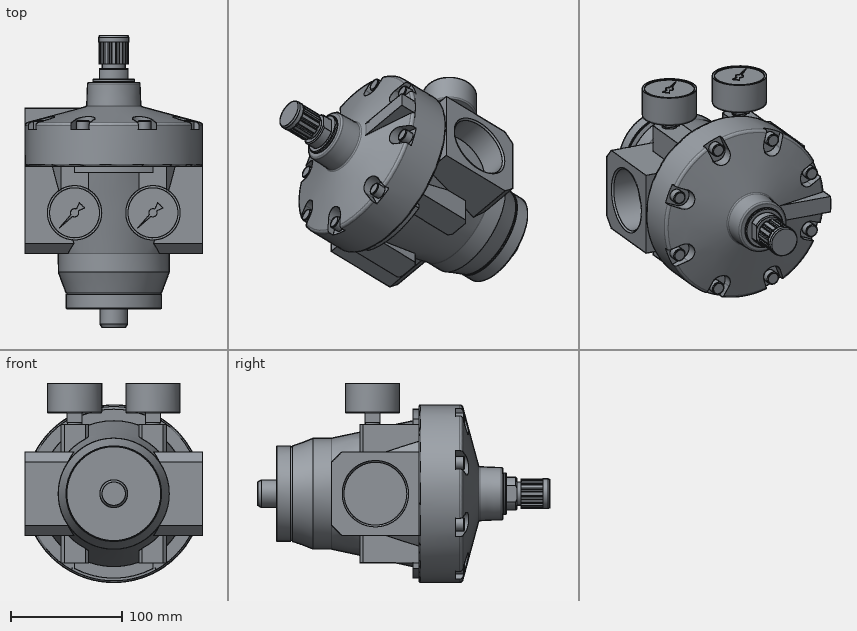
import cadquery as cq


pin_end = -106.0
cap_front = -89.2
cap_back = -76.3
groove_back = -74.7
neck_front = -56.0
block_front = -39.5
plate_front = 33.7
bonnet_front = 39.2
bonnet_back = 78.0
collar_start = 93.0
collar_end = 114.7
washer_end = 117.8
stud_end = 127.3
flutes_start = 131.0
flutes_end = 151.0
knob_end = 157.0

pin_d = 25.0
pin_tip_d = 21.0
pin_chamfer_length = 3.5
cap_d = 86.0
cap_chamfer = 0.8
groove_d = 84.7
barrel_d = 100.0
cone_back_d = 133.5
plate_d = 152.0
plate_width = 70.7
bonnet_d = 160.0
bonnet_fillet = 3.2
bonnet_front_fillet = 1.5
collar_d = 49.0
collar_end_d = 47.3
collar_root_fillet = 1.3
collar_end_fillet = 1.5
washer_d = 37.5
washer_chamfer = 0.8
stud_d = 29.7
stud_flats = 25.8
stud_chamfer = 1.0
knob_neck_d = 21.0
knob_d = 26.3
knob_rim_d = 27.0
knob_chamfer_length = 1.8
knob_chamfer_depth = 0.8
flute_count = 12
flute_width = 3.7
flute_floor_width = 1.3
flute_depth = 1.0

block_length = bonnet_d
block_height = 75.2
block_chamfer = 9.2
port_d = 56.5
port_chamfer = 1.5
port_depth = 26.3
lug_inner_x = 22.5
lug_outer_x = 47.3
lug_front = -14.0
lug_height = 124.7
lug_chamfer = 3.0
rib_front = 75.7
rib_back = 91.5
rib_width = 15.0
screw_count = 8
screw_circle_r = 72.0
screw_head_d = 11.5
screw_head_top = 80.2
screw_head_chamfer = 0.8
screw_pocket_r = 67.3
screw_pocket_d = 18.0
screw_pocket_floor = 72.0

gauge_x = 35.2
gauge_y = -2.5
gauge_d = 49.0
gauge_top = 99.2
gauge_bottom = 72.5
gauge_edge_radius = 1.3
dial_d = 45.0
dial_depth = 0.8
stem_width = 13.7
stem_bottom = 64.2
stem_neck_d = 13.2
needle_angle = 225
needle_height = 0.5
needle_hub_d = 7.4
needle_tip_reach = 19.5
needle_base_width = 2.5
needle_tail_reach = 9.5
needle_tail_width = 6.8
needle_waist_reach = 4.2
needle_waist_width = 2.5

lug_top = lug_height / 2


def disc_y(diameter, y_start, y_end):
    """Cylinder on the main axis from y_start to y_end."""
    return cq.Workplane("XZ", origin=(0, y_start, 0)).circle(diameter / 2).extrude(y_start - y_end)


def turned(profile):
    """Solid of revolution about the main axis from (radius, Y) points."""
    return cq.Workplane("XY").polyline(profile).close().revolve(360, (0, 0, 0), (0, 1, 0))


def box_between(x_range, y_range, z_range):
    """Box that spans the given X, Y and Z ranges."""
    sizes = [high - low for low, high in (x_range, y_range, z_range)]
    low_corner = (x_range[0], y_range[0], z_range[0])
    return cq.Workplane("XY").box(*sizes, centered=False).translate(low_corner)


def make_barrel():
    """Front pin, end cap, groove and tapered barrel, turned about the main axis."""
    profile = [
        (0, pin_end),
        (pin_tip_d / 2, pin_end),
        (pin_d / 2, pin_end + pin_chamfer_length),
        (pin_d / 2, cap_front),
        (cap_d / 2 - cap_chamfer, cap_front),
        (cap_d / 2, cap_front + cap_chamfer),
        (cap_d / 2, cap_back),
        (groove_d / 2, cap_back),
        (groove_d / 2, groove_back),
        (cap_d / 2, groove_back),
        (barrel_d / 2, neck_front),
        (barrel_d / 2, block_front),
        (cone_back_d / 2, bonnet_front),
        (0, bonnet_front),
    ]
    return turned(profile)


def make_port_block():
    """Block that carries the ports, with its two long front edges chamfered."""
    half_length = block_length / 2
    half_height = block_height / 2
    block = box_between(
        (-half_length, half_length), (block_front, bonnet_front), (-half_height, half_height)
    )
    return block.edges("|X and <Y").chamfer(block_chamfer)


def make_port(side):
    """Blind port with a chamfered mouth, on the -X (side = -1) or +X (side = 1) end."""
    mouth_r = port_d / 2 + port_chamfer
    profile = [
        (0, 0),
        (mouth_r, 0),
        (port_d / 2, port_chamfer),
        (port_d / 2, port_depth),
        (0, port_depth),
    ]
    port = turned(profile)
    return port.rotate((0, 0, 0), (0, 0, 1), 90 * side).translate((side * block_length / 2, 0, 0))


def make_lug(side):
    """Upright lug that seats a gauge, with its two front corners chamfered."""
    x_range = sorted((side * lug_inner_x, side * lug_outer_x))
    lug = box_between(x_range, (lug_front, bonnet_front), (-lug_top, lug_top))
    return lug.edges("|Z and <Y").chamfer(lug_chamfer)


def make_plate():
    """Flat-sided plate in front of the bonnet."""
    strip = box_between(
        (-plate_width / 2, plate_width / 2), (plate_front, bonnet_front), (-plate_d, plate_d)
    )
    return disc_y(plate_d, plate_front, bonnet_front).intersect(strip)


def circle_edges(shape, y):
    """Circular edges about the main axis that lie at the given Y."""
    tolerance = 0.13
    slab = cq.selectors.BoxSelector(
        (-bonnet_d, y - tolerance, -bonnet_d), (bonnet_d, y + tolerance, bonnet_d)
    )
    return shape.edges(slab)


def make_bonnet():
    """Conical bonnet with a rounded rim, and the tapered collar behind it."""
    profile = [
        (0, bonnet_front),
        (bonnet_d / 2, bonnet_front),
        (bonnet_d / 2, bonnet_back),
        (collar_d / 2, collar_start),
        (collar_end_d / 2, collar_end),
        (0, collar_end),
    ]
    bonnet = turned(profile)
    bonnet = circle_edges(bonnet, bonnet_front).fillet(bonnet_front_fillet)
    bonnet = circle_edges(bonnet, bonnet_back).fillet(bonnet_fillet)
    bonnet = circle_edges(bonnet, collar_start).fillet(collar_root_fillet)
    return circle_edges(bonnet, collar_end).fillet(collar_end_fillet)


def make_rib():
    """Rib on the -X side of the bonnet cone, rounded on the outside like the bonnet."""
    bar = box_between((-bonnet_d / 2, 0), (rib_front, rib_back), (-rib_width / 2, rib_width / 2))
    return bar.intersect(disc_y(bonnet_d, bonnet_front, rib_back))


def make_screw_pocket():
    """Round-ended pocket around a screw on the +X side, open to the rim."""
    start = cq.Workplane("XZ", origin=(0, screw_pocket_floor, 0))
    depth = collar_start - screw_pocket_floor
    round_end = start.center(screw_pocket_r, 0).circle(screw_pocket_d / 2).extrude(-depth)
    channel = start.center(screw_pocket_r + bonnet_d / 4, 0).rect(bonnet_d / 2, screw_pocket_d)
    channel = channel.extrude(-depth)
    return round_end.union(channel)


def make_screw_head():
    """Cylindrical screw head standing on the pocket floor on the +X side."""
    start = cq.Workplane("XZ", origin=(screw_circle_r, screw_pocket_floor, 0))
    head = start.circle(screw_head_d / 2).extrude(screw_pocket_floor - screw_head_top)
    return head.faces(">Y").edges().chamfer(screw_head_chamfer)


def around_axis(shape, count, first_angle):
    """Copies of a shape spaced evenly about the main axis."""
    step = 360 / count
    return [shape.rotate((0, 0, 0), (0, 1, 0), first_angle + i * step) for i in range(count)]


def make_washer():
    """Washer on the collar end, chamfered on both edges."""
    return disc_y(washer_d, collar_end, washer_end).edges().chamfer(washer_chamfer)


def make_stud():
    """Round stud behind the washer with two wrench flats and a chamfered end."""
    stud = disc_y(stud_d, washer_end, stud_end).faces(">Y").edges().chamfer(stud_chamfer)
    half_flats = stud_flats / 2
    slab = box_between((-half_flats, half_flats), (washer_end, stud_end), (-stud_d, stud_d))
    return stud.intersect(slab)


def make_flute():
    """Cutter for one knob flute, with a narrow floor and sloping sides, on the +X side."""
    mouth_x = knob_d / 2
    outline = [
        (mouth_x - flute_depth, -flute_floor_width / 2),
        (mouth_x, -flute_width / 2),
        (knob_d, -flute_width / 2),
        (knob_d, flute_width / 2),
        (mouth_x, flute_width / 2),
        (mouth_x - flute_depth, flute_floor_width / 2),
    ]
    start = cq.Workplane("XZ", origin=(0, flutes_start, 0))
    return start.polyline(outline).close().extrude(flutes_start - flutes_end)


def make_knob():
    """Neck, fluted grip and chamfered end rim of the adjusting knob."""
    profile = [
        (0, stud_end),
        (knob_neck_d / 2, stud_end),
        (knob_neck_d / 2, flutes_start),
        (knob_d / 2, flutes_start),
        (knob_d / 2, flutes_end),
        (knob_rim_d / 2, flutes_end),
        (knob_rim_d / 2, knob_end - knob_chamfer_length),
        (knob_rim_d / 2 - knob_chamfer_depth, knob_end),
        (0, knob_end),
    ]
    knob = turned(profile)
    for cutter in around_axis(make_flute(), flute_count, 180 / flute_count):
        knob = knob.cut(cutter)
    return knob


def make_housing():
    """Body with ports and lugs, joined to the bonnet, screws, stud and adjusting knob."""
    bonnet = make_bonnet().union(make_rib())
    first_screw = 180 / screw_count
    for pocket in around_axis(make_screw_pocket(), screw_count, first_screw):
        bonnet = bonnet.cut(pocket)
    for head in around_axis(make_screw_head(), screw_count, first_screw):
        bonnet = bonnet.union(head)

    housing = make_barrel().union(make_port_block())
    for side in (-1, 1):
        housing = housing.union(make_lug(side))
    housing = housing.union(make_plate()).union(bonnet)
    housing = housing.union(make_washer()).union(make_stud()).union(make_knob())
    for side in (-1, 1):
        housing = housing.cut(make_port(side))
    return housing


def make_needle(dial_z):
    """Raised needle that points to the -X -Y corner of the dial."""
    base = cq.Workplane("XY", origin=(0, 0, dial_z))
    hub = base.circle(needle_hub_d / 2).extrude(needle_height)
    pointer_points = [(0, -needle_base_width / 2), (needle_tip_reach, 0), (0, needle_base_width / 2)]
    tail_points = [
        (0, -needle_waist_width / 2),
        (-needle_waist_reach, -needle_waist_width / 2),
        (-needle_tail_reach, -needle_tail_width / 2),
        (-needle_tail_reach, needle_tail_width / 2),
        (-needle_waist_reach, needle_waist_width / 2),
        (0, needle_waist_width / 2),
    ]
    pointer = base.polyline(pointer_points).close().extrude(needle_height)
    tail = base.polyline(tail_points).close().extrude(needle_height)
    return hub.union(pointer).union(tail).rotate((0, 0, 0), (0, 0, 1), needle_angle)


def make_gauge(side):
    """Dial gauge on a square stem, standing on the lug on the given side."""
    dial_z = gauge_top - dial_depth
    case = cq.Workplane("XY", origin=(0, 0, gauge_bottom)).circle(gauge_d / 2)
    case = case.extrude(gauge_top - gauge_bottom)
    case = case.faces("<Z").edges().fillet(gauge_edge_radius)
    dial_recess = cq.Workplane("XY", origin=(0, 0, dial_z)).circle(dial_d / 2).extrude(dial_depth)
    stem = cq.Workplane("XY", origin=(0, 0, stem_bottom)).rect(stem_width, stem_width)
    stem = stem.extrude(gauge_bottom - stem_bottom)
    neck = cq.Workplane("XY", origin=(0, 0, lug_top)).circle(stem_neck_d / 2).extrude(stem_bottom - lug_top)
    gauge = case.cut(dial_recess).union(stem).union(neck).union(make_needle(dial_z))
    return gauge.translate((side * gauge_x, gauge_y, 0))


housing = make_housing()
gauges = [make_gauge(side) for side in (-1, 1)]
result = cq.Compound.makeCompound([body.solids().val() for body in (housing, *gauges)])